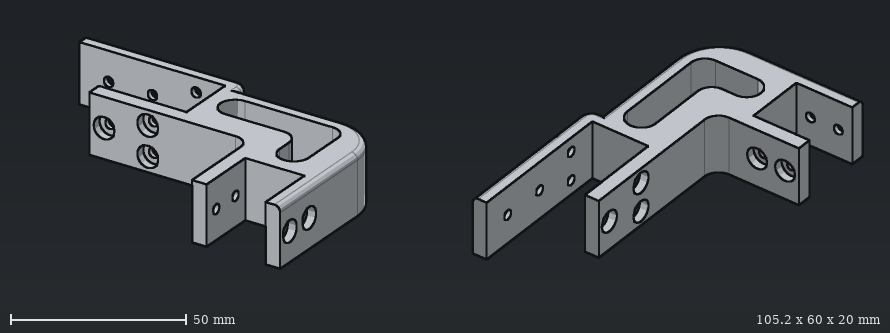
import cadquery as cq
import math

LENGTH = 105.2
WIDTH = 60.0
HEIGHT = 20.0

WALL = 5.0
SHORT_ARM_X = 20.0
WEB_X = 50.0
STEP_X = WEB_X + WALL
STEP_Y = WIDTH - WALL
INNER_ARM_Y = 30.0
INNER_ARM_X = 75.0
WEB_Y = 20.0
OUTER_CORNER_RADIUS = 15.0
STEP_RADIUS = 4.0
INSIDE_CORNER_RADIUS = WALL
EDGE_ROUND = 2.0

WINDOW_LEFT = STEP_X
WINDOW_RIGHT = 95.0
WINDOW_TOP = WIDTH - 2 * WALL
WINDOW_BOTTOM = 25.0
WINDOW_WIDTH = 10.0

SCREW_DIAMETER = 3.2
HEAD_DIAMETER = 7.0
HEAD_DEPTH = 3.0
MID_HEIGHT = HEIGHT / 2
HOLE_PITCH = 10.0
PAIR_X = 40.0
SINGLE_X = 25.0
END_SCREW_X = 10.0
FIRST_SCREW_Y = 5.0
SHARED_POINTS_X = [(SINGLE_X, MID_HEIGHT)] + [
    (PAIR_X, MID_HEIGHT + side * HOLE_PITCH / 2) for side in (-1, 1)
]
OUTER_POINTS_X = SHARED_POINTS_X + [(END_SCREW_X, MID_HEIGHT)]
POINTS_Y = [(FIRST_SCREW_Y + i * HOLE_PITCH, MID_HEIGHT) for i in range(2)]


def arc_inset(radius):
    """Distance of a quarter arc's midpoint from either side of its square corner."""
    return radius * (1 - math.sqrt(0.5))


def make_body():
    """Bracket with its top outer edge rounded, before the openings are cut."""
    body = (
        cq.Workplane("XY")
        .moveTo(0, STEP_Y)
        .lineTo(0, WIDTH)
        .lineTo(STEP_X - STEP_RADIUS, WIDTH)
        .radiusArc((STEP_X, WIDTH - STEP_RADIUS), STEP_RADIUS)
        .lineTo(STEP_X, STEP_Y)
        .lineTo(LENGTH - OUTER_CORNER_RADIUS, STEP_Y)
        .radiusArc((LENGTH, STEP_Y - OUTER_CORNER_RADIUS), OUTER_CORNER_RADIUS)
        .lineTo(LENGTH, 0)
        .lineTo(LENGTH - WALL, 0)
        .lineTo(LENGTH - WALL, WEB_Y)
        .lineTo(INNER_ARM_X + WALL, WEB_Y)
        .lineTo(INNER_ARM_X + WALL, 0)
        .lineTo(INNER_ARM_X, 0)
        .lineTo(INNER_ARM_X, INNER_ARM_Y - INSIDE_CORNER_RADIUS)
        .radiusArc((INNER_ARM_X - INSIDE_CORNER_RADIUS, INNER_ARM_Y), -INSIDE_CORNER_RADIUS)
        .lineTo(SHORT_ARM_X, INNER_ARM_Y)
        .lineTo(SHORT_ARM_X, INNER_ARM_Y + WALL)
        .lineTo(WEB_X, INNER_ARM_Y + WALL)
        .lineTo(WEB_X, STEP_Y)
        .close()
        .extrude(HEIGHT)
    )
    run_points = [
        (WEB_X / 2, WIDTH),
        (STEP_X - arc_inset(STEP_RADIUS), WIDTH - arc_inset(STEP_RADIUS)),
        (STEP_X, (WIDTH - STEP_RADIUS + STEP_Y) / 2),
        ((STEP_X + LENGTH - OUTER_CORNER_RADIUS) / 2, STEP_Y),
        (LENGTH - arc_inset(OUTER_CORNER_RADIUS), STEP_Y - arc_inset(OUTER_CORNER_RADIUS)),
        (LENGTH, (STEP_Y - OUTER_CORNER_RADIUS) / 2),
    ]
    top_edges = body.faces(">Z").edges().vals()
    outer_edges = [
        min(top_edges, key=lambda edge: (edge.positionAt(0.5) - cq.Vector(x, y, HEIGHT)).Length)
        for x, y in run_points
    ]
    return body.newObject(outer_edges).fillet(EDGE_ROUND)


def make_window():
    """L-shaped window with full-round ends and rounded corners."""
    radius = WINDOW_WIDTH / 2
    inner_right = WINDOW_RIGHT - WINDOW_WIDTH
    lower_side = WINDOW_TOP - WINDOW_WIDTH
    return (
        cq.Workplane("XY")
        .moveTo(WINDOW_LEFT + radius, WINDOW_TOP)
        .lineTo(WINDOW_RIGHT - radius, WINDOW_TOP)
        .radiusArc((WINDOW_RIGHT, WINDOW_TOP - radius), radius)
        .lineTo(WINDOW_RIGHT, WINDOW_BOTTOM + radius)
        .threePointArc((WINDOW_RIGHT - radius, WINDOW_BOTTOM), (inner_right, WINDOW_BOTTOM + radius))
        .lineTo(inner_right, lower_side - radius)
        .radiusArc((inner_right - radius, lower_side), -radius)
        .lineTo(WINDOW_LEFT + radius, lower_side)
        .threePointArc((WINDOW_LEFT, WINDOW_TOP - radius), (WINDOW_LEFT + radius, WINDOW_TOP))
        .close()
        .extrude(HEIGHT)
    )


def make_hole(face_point, inward):
    """Counterbored hole through one wall, starting at the given outer face."""
    start = cq.Vector(*face_point)
    direction = cq.Vector(*inward)
    screw = cq.Solid.makeCylinder(SCREW_DIAMETER / 2, WALL, start, direction)
    head = cq.Solid.makeCylinder(HEAD_DIAMETER / 2, HEAD_DEPTH, start, direction)
    return screw.fuse(head)


result = make_body().cut(make_window())
for x, z in SHARED_POINTS_X:
    result = result.cut(make_hole((x, INNER_ARM_Y, z), (0, 1, 0)))
for x, z in OUTER_POINTS_X:
    result = result.cut(make_hole((x, WIDTH, z), (0, -1, 0)))
for y, z in POINTS_Y:
    result = result.cut(make_hole((INNER_ARM_X, y, z), (1, 0, 0)))
    result = result.cut(make_hole((LENGTH, y, z), (-1, 0, 0)))